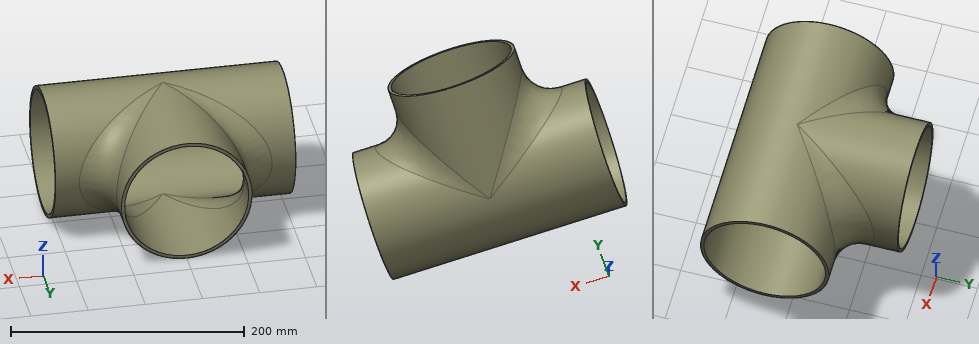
import cadquery as cq
import math

run_length = 210.0
branch_reach = 105.0
outer_radius = 114.2 / 2
bore_radius = 108.4 / 2
wall = outer_radius - bore_radius

crotch_radius = 27.0
bore_crotch_radius = crotch_radius + wall
blend_sections = 9


def crossed_cylinders(radius):
    """Solid run cylinder joined to a solid branch cylinder of the same radius."""
    run = cq.Workplane("YZ").circle(radius).extrude(run_length / 2, both=True)
    branch = cq.Workplane("XZ").circle(radius).extrude(-branch_reach)
    return run.union(branch)


def half_ellipse(radius, blend_radius, angle):
    """Arc from pole to pole in an upright plane, crossing the crotch arc at the given angle.

    At angle 0 it lies on the branch cylinder, at 90 degrees on the run cylinder.
    """
    arc_centre = radius + blend_radius
    crotch_point = cq.Vector(
        arc_centre - blend_radius * math.cos(angle),
        arc_centre - blend_radius * math.sin(angle),
        0,
    )
    outward = crotch_point.normalized()
    plane_normal = outward.cross(cq.Vector(0, 0, 1))
    return cq.Edge.makeEllipse(
        crotch_point.Length,
        radius,
        pnt=cq.Vector(0, 0, 0),
        dir=plane_normal,
        xdir=outward,
        angle1=270,
        angle2=90,
    )


def crotch_wedge(radius, blend_radius):
    """Solid wedge in the +X crotch: the blend surface closed by two flat sides meeting on the Z axis."""
    step = math.pi / 2 / (blend_sections - 1)
    ribs = [half_ellipse(radius, blend_radius, i * step) for i in range(blend_sections)]
    pole_axis = cq.Edge.makeLine(cq.Vector(0, 0, radius), cq.Vector(0, 0, -radius))
    flat_sides = [
        cq.Face.makeFromWires(cq.Wire.assembleEdges([rib, pole_axis]))
        for rib in (ribs[0], ribs[-1])
    ]
    blend_surface = cq.occ_impl.shapes.loft(ribs)
    skin = cq.occ_impl.shapes.shell(blend_surface, *flat_sides)
    return cq.Workplane(cq.Solid.makeSolid(skin))


def tee_body(radius, blend_radius):
    """Solid tee of one radius with both crotches blended."""
    wedge = crotch_wedge(radius, blend_radius)
    return crossed_cylinders(radius).union(wedge).union(wedge.mirror("YZ"))


outside = tee_body(outer_radius, crotch_radius)
bore = tee_body(bore_radius, bore_crotch_radius)
result = outside.cut(bore)